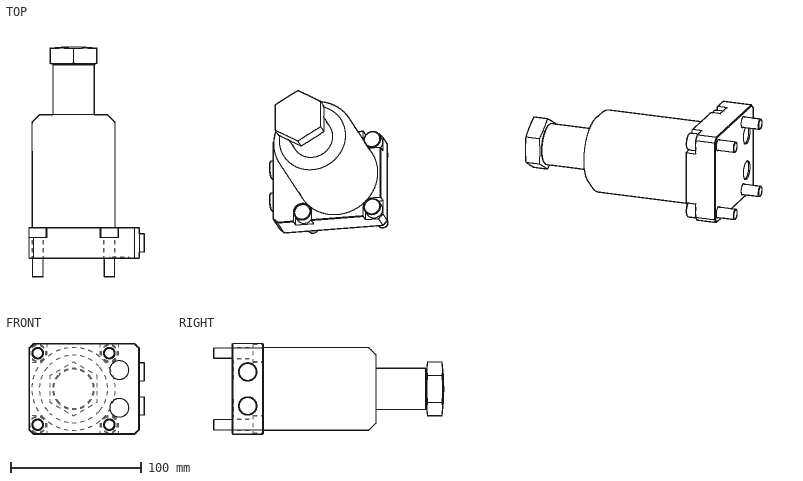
import cadquery as cq
import math


OVERALL_LENGTH = 177.0

BLOCK_LENGTH = 85.0
BLOCK_HEIGHT = 70.0
BLOCK_THICKNESS = 24.0
BLOCK_LEFT = -34.3
BLOCK_CORNER_CHAMFER = 3.5
BLOCK_EDGE_CHAMFER = 0.5
BLOCK_RIGHT = BLOCK_LEFT + BLOCK_LENGTH

BARREL_DIAMETER = 64.0
BARREL_RADIUS = BARREL_DIAMETER / 2
BARREL_END = 110.8
BARREL_CHAMFER = 5.8
BARREL_EDGE_FILLET = 2.0
ROD_RADIUS = BARREL_RADIUS / 2
ROD_END_CHAMFER = 0.9
HEX_ACROSS_FLATS = 36.0
HEX_TURN = 30
HEX_START = 148.9
ROD_TIP = 162.9
HEX_CORNER_RADIUS = HEX_ACROSS_FLATS / math.sqrt(3)
DOME_HEIGHT = 1.5

PORT_RADIUS = 7.3
PORT_DEPTH = 1.0
PORT_X = 35.2
PORT_SPACING = 29.0

PLUG_RADIUS = 7.0
PLUG_LENGTH = 4.0
PLUG_SPACING = 26.2
PLUG_CHAMFER = 0.5

SCREW_SPACING = 55.0
SCREW_RADIUS = 4.0
SCREW_HOLE_RADIUS = 4.5
SCREW_TIP = ROD_TIP - OVERALL_LENGTH
SCREW_TIP_CHAMFER = 0.4
HEAD_RADIUS = 6.5
HEAD_HEIGHT = 8.0
HEAD_CHAMFER = 0.5
POCKET_RADIUS = 7.0
POCKET_FLOOR = BLOCK_THICKNESS - HEAD_HEIGHT
SIDES = (-1, 1)
SCREW_CENTRES = [(x * SCREW_SPACING / 2, z * SCREW_SPACING / 2) for x in SIDES for z in SIDES]


def cylinder_y(radius, start, end, x=0.0, z=0.0):
    """Cylinder parallel to Y, from Y = start to Y = end."""
    return cq.Workplane("XZ", origin=(x, start, z)).circle(radius).extrude(start - end)


def box_between(x_range, y_range, z_range):
    """Box between two limits along each axis."""
    sizes = [abs(high - low) for low, high in (x_range, y_range, z_range)]
    corner = [min(limits) for limits in (x_range, y_range, z_range)]
    return cq.Workplane("XY").box(*sizes, centered=False).translate(tuple(corner))


def make_block():
    y_range = (0, BLOCK_THICKNESS)
    z_range = (-BLOCK_HEIGHT / 2, BLOCK_HEIGHT / 2)
    block = box_between((BLOCK_LEFT, BLOCK_RIGHT), y_range, z_range)
    block = block.edges("|Y").chamfer(BLOCK_CORNER_CHAMFER)
    return block.faces("<Y or >Y").edges().chamfer(BLOCK_EDGE_CHAMFER)


def make_barrel():
    barrel = cylinder_y(BARREL_RADIUS, BLOCK_THICKNESS, BARREL_END)
    barrel = barrel.faces(">Y").edges().chamfer(BARREL_CHAMFER)
    return barrel.faces("%CONE").edges("%CIRCLE").edges("<Y").fillet(BARREL_EDGE_FILLET)


def make_rod():
    """Rod whose chamfered end runs into the domed near face of the hexagonal head."""
    rod = cylinder_y(ROD_RADIUS, BARREL_END, HEX_START + ROD_END_CHAMFER)
    return rod.faces(">Y").edges().chamfer(ROD_END_CHAMFER)


def make_hex_head():
    """Hexagonal head with corners at +Z and -Z, both ends shallow domes of one sphere radius."""
    prism = (
        cq.Workplane("XZ", origin=(0, HEX_START, 0))
        .polygon(6, 2 * HEX_CORNER_RADIUS)
        .extrude(HEX_START - ROD_TIP)
        .rotate((0, 0, 0), (0, 1, 0), HEX_TURN)
    )
    sphere_radius = (HEX_CORNER_RADIUS**2 + DOME_HEIGHT**2) / (2 * DOME_HEIGHT)
    middle_radius = HEX_CORNER_RADIUS / 2
    middle_drop = sphere_radius - math.sqrt(sphere_radius**2 - middle_radius**2)
    envelope = (
        cq.Workplane("XY")
        .moveTo(0, HEX_START)
        .threePointArc(
            (middle_radius, HEX_START + middle_drop),
            (HEX_CORNER_RADIUS, HEX_START + DOME_HEIGHT),
        )
        .lineTo(HEX_CORNER_RADIUS, ROD_TIP - DOME_HEIGHT)
        .threePointArc((middle_radius, ROD_TIP - middle_drop), (0, ROD_TIP))
        .close()
        .revolve(360, (0, 0, 0), (0, 1, 0))
    )
    return prism.intersect(envelope)


def make_plug(z):
    plug = cq.Workplane("YZ", origin=(BLOCK_RIGHT, BLOCK_THICKNESS / 2, z))
    return plug.circle(PLUG_RADIUS).extrude(PLUG_LENGTH).faces(">X").edges().chamfer(PLUG_CHAMFER)


def make_screw_pocket(x, z):
    """Round pocket open to the nearest Z side, and on the -X pair also to the -X side."""
    y_range = (POCKET_FLOOR, BLOCK_THICKNESS)
    x_range = (x - POCKET_RADIUS, x + POCKET_RADIUS)
    z_range = (z - POCKET_RADIUS, z + POCKET_RADIUS)
    z_edge = math.copysign(BLOCK_HEIGHT / 2, z)
    pocket = cylinder_y(POCKET_RADIUS, *y_range, x, z)
    if x < 0:
        pocket = pocket.union(box_between((BLOCK_LEFT, x), y_range, z_range))
        x_range = (BLOCK_LEFT, x + POCKET_RADIUS)
    return pocket.union(box_between(x_range, y_range, (z, z_edge)))


def make_housing():
    block = make_block()
    for side_z in SIDES:
        block = block.cut(cylinder_y(PORT_RADIUS, 0, PORT_DEPTH, PORT_X, side_z * PORT_SPACING / 2))
        block = block.union(make_plug(side_z * PLUG_SPACING / 2))
    for x, z in SCREW_CENTRES:
        block = block.cut(make_screw_pocket(x, z))
        block = block.cut(cylinder_y(SCREW_HOLE_RADIUS, 0, BLOCK_THICKNESS, x, z))
    return block.union(make_barrel()).union(make_rod()).union(make_hex_head())


def make_screw(x, z):
    shank = cylinder_y(SCREW_RADIUS, SCREW_TIP, POCKET_FLOOR, x, z)
    shank = shank.faces("<Y").edges().chamfer(SCREW_TIP_CHAMFER)
    head = cylinder_y(HEAD_RADIUS, POCKET_FLOOR, POCKET_FLOOR + HEAD_HEIGHT, x, z)
    return shank.union(head.faces(">Y").edges().chamfer(HEAD_CHAMFER))


housing = make_housing()

screws = [make_screw(x, z).val() for x, z in SCREW_CENTRES]

result = cq.Compound.makeCompound([housing.val(), *screws])